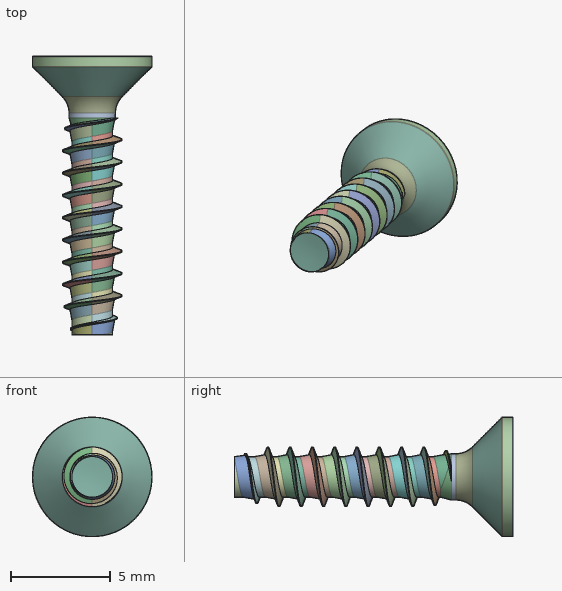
import cadquery as cq
import math

screw_length = 14.0

head_diameter = 6.0
head_rim = 0.55
head_edge_fillet = 0.04
neck_diameter = 2.34
neck_fillet = 1.19
neck_end = 3.11

core_radius = 1.02
core_taper_end = 3.64
core_swell_radius = 1.15
core_swell_length = 0.67
swell_clearance = 0.08

pitch = 1.12
crest_depth = 3.08
crest_radius = 1.5
start_radius = 1.29
full_thread_start = 4.2
full_thread_end = 12.32
crest_width = 0.04
flank_angle = 20.0
thread_root_drop = 0.59

helix_start = crest_depth - 1.25 * pitch
half_turns = 23
steps_per_half_turn = 8
uncut_length = 16.8
cutter_margin = 0.7
tip_dish_depth = 0.07
buried_radius = 0.7


def crest_radius_at(depth):
    """Crest radius: rises behind the neck, stays constant, then falls to the core at the tip."""
    if depth < full_thread_start:
        rise = (crest_radius - start_radius) / (full_thread_start - neck_end)
        return crest_radius - rise * (full_thread_start - depth)
    if depth > full_thread_end:
        fall = (crest_radius - core_radius) / (screw_length - full_thread_end)
        return crest_radius - fall * (depth - full_thread_end)
    return crest_radius


def helix_edge(half_turn, offset, radius_at):
    """Half a turn of helix, shifted along the axis by offset from the crest, of radius_at(crest depth)."""
    turns = [(half_turn + i / steps_per_half_turn) / 2 for i in range(steps_per_half_turn + 1)]
    points = []
    for turn in turns:
        depth = helix_start + pitch * turn
        angle = 2 * math.pi * (depth - crest_depth) / pitch
        radius = radius_at(depth)
        points.append(cq.Vector(radius * math.cos(angle), -depth - offset, radius * math.sin(angle)))
    return cq.Edge.makeSpline(points, parameters=turns)


def section_face(edges, end):
    """Flat face closing a ridge at the start (0) or finish (1) of its helical edges."""
    corners = [edge.positionAt(end) for edge in edges]
    return cq.Face.makeFromWires(cq.Wire.makePolygon(corners, close=True))


def helical_ridge(section):
    """Solid swept along the thread by a section given as (axial offset, radius function) corners."""
    rows = [
        [helix_edge(half_turn, offset, radius_at) for offset, radius_at in section]
        for half_turn in range(half_turns)
    ]
    faces = [section_face(rows[0], 0), section_face(rows[-1], 1)]
    for edges in rows:
        for i, edge in enumerate(edges):
            faces.append(cq.Face.makeRuledSurface(edges[i - 1], edge))
    ridge = cq.Solid.makeSolid(cq.Shell.makeShell(faces))
    return cq.Workplane(ridge.fix())


def make_blank():
    """Turned body: countersunk head, filleted neck, short taper and plain core."""
    head_radius = head_diameter / 2
    neck_radius = neck_diameter / 2
    slope = math.radians(45)
    fillet_top_radius = neck_radius + neck_fillet * (1 - math.cos(slope))
    fillet_top = head_rim + head_radius - fillet_top_radius
    fillet_end = fillet_top + neck_fillet * math.sin(slope)
    fillet_middle = (
        neck_radius + neck_fillet * (1 - math.cos(slope / 2)),
        -fillet_end + neck_fillet * math.sin(slope / 2),
    )
    profile = (
        cq.Workplane("ZY")
        .lineTo(head_radius, 0)
        .lineTo(head_radius, -head_rim)
        .lineTo(fillet_top_radius, -fillet_top)
        .threePointArc(fillet_middle, (neck_radius, -fillet_end))
        .lineTo(neck_radius, -neck_end)
        .lineTo(core_radius, -core_taper_end)
        .lineTo(core_radius, -uncut_length)
        .lineTo(0, -uncut_length)
        .close()
    )
    blank = profile.revolve(360, (0, 0, 0), (0, 1, 0))
    rim_edges = cq.selectors.BoxSelector(
        (-head_radius, -head_rim - head_edge_fillet, -head_radius),
        (head_radius, head_edge_fillet, head_radius),
    )
    return blank.edges(rim_edges).edges("%CIRCLE").fillet(head_edge_fillet)


def make_core_swell():
    """Helical wedge that thickens the core behind each thread flank."""
    buried_offset = (core_swell_length + pitch) / 2
    fall = (core_swell_radius - core_radius) / core_swell_length

    def swell_radius_at(depth):
        return min(core_swell_radius, crest_radius_at(depth) - swell_clearance)

    return helical_ridge([
        (0, lambda depth: buried_radius),
        (0, swell_radius_at),
        (buried_offset, lambda depth: core_swell_radius - fall * buried_offset),
        (buried_offset, lambda depth: buried_radius),
    ])


def make_thread():
    """Trapezoidal thread ridge whose section moves inwards where the crest runs out."""
    half_crest = crest_width / 2
    half_root = half_crest + thread_root_drop * math.tan(math.radians(flank_angle))

    def root_radius_at(depth):
        return crest_radius_at(depth) - thread_root_drop

    return helical_ridge([
        (-half_root, root_radius_at),
        (-half_crest, crest_radius_at),
        (half_crest, crest_radius_at),
        (half_root, root_radius_at),
    ])


def make_tip_cutter():
    """Block beyond the tip whose convex face leaves a shallow spherical dish in the end."""
    length = uncut_length - screw_length + cutter_margin
    radius = head_diameter / 2
    dish_radius = (core_radius ** 2 + tip_dish_depth ** 2) / (2 * tip_dish_depth)
    half_angle = math.asin(core_radius / dish_radius) / 2
    dish_middle_drop = dish_radius * (1 - math.cos(half_angle))
    profile = (
        cq.Workplane("XY")
        .moveTo(0, -screw_length + tip_dish_depth)
        .threePointArc(
            (dish_radius * math.sin(half_angle), -screw_length + tip_dish_depth - dish_middle_drop),
            (core_radius, -screw_length),
        )
        .lineTo(radius, -screw_length)
        .lineTo(radius, -screw_length - length)
        .lineTo(0, -screw_length - length)
        .close()
    )
    return profile.revolve(360, (0, 0, 0), (0, 1, 0))


behind_neck = (
    cq.Workplane("XZ", origin=(0, -neck_end, 0))
    .circle(head_diameter / 2)
    .extrude(uncut_length + cutter_margin - neck_end)
)
result = make_blank()
for ridge in (make_core_swell(), make_thread()):
    result = result.union(ridge.intersect(behind_neck))
result = result.cut(make_tip_cutter())